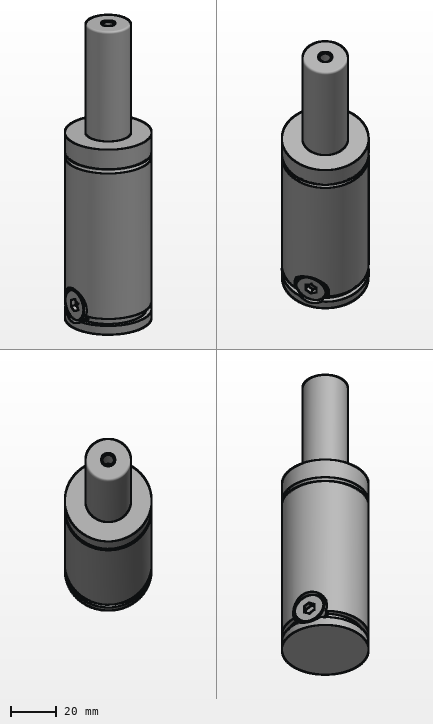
import cadquery as cq
import math

total_height = 140.0
body_diameter = 38.0
body_radius = body_diameter / 2
body_height = 88.0

base_groove_bottom = 4.2
base_groove_top = 7.5
base_groove_radius = 16.7

cap_height = 9.4
cap_groove_radius = 1.0

rod_diameter = 20.0
rod_edge_radius = 1.0
rod_hole_diameter = 5.0
rod_hole_mouth_diameter = 6.2
rod_hole_depth = 12.0
drill_tip_angle = 118.0

plug_height = 10.5
recess_diameter = 16.0
recess_floor_distance = 14.7
plug_diameter = 14.0
plug_face_distance = 18.2
plug_chamfer = 0.3
hex_across_flats = 5.0
hex_depth = 2.5


def make_body():
    """Revolve the body profile with both grooves."""
    cap_groove_top = body_height - cap_height
    cap_groove_bottom = cap_groove_top - 2 * cap_groove_radius
    return (
        cq.Workplane("XZ")
        .lineTo(body_radius, 0)
        .lineTo(body_radius, base_groove_bottom)
        .lineTo(base_groove_radius, base_groove_bottom)
        .lineTo(base_groove_radius, base_groove_top)
        .lineTo(body_radius, base_groove_top)
        .lineTo(body_radius, cap_groove_bottom)
        .threePointArc(
            (body_radius - cap_groove_radius, cap_groove_bottom + cap_groove_radius),
            (body_radius, cap_groove_top),
        )
        .lineTo(body_radius, body_height)
        .lineTo(0, body_height)
        .close()
        .revolve(360, (0, 0), (0, 1))
    )


def make_rod():
    """Rod rising from the body, rounded at its free end."""
    return (
        cq.Workplane("XY", origin=(0, 0, body_height))
        .circle(rod_diameter / 2)
        .extrude(total_height - body_height)
        .faces(">Z")
        .edges().fillet(rod_edge_radius)
    )


def make_rod_hole():
    """Blind drilled hole with a chamfered mouth and a conical tip."""
    hole_radius = rod_hole_diameter / 2
    mouth_radius = rod_hole_mouth_diameter / 2
    mouth_depth = mouth_radius - hole_radius
    tip_length = hole_radius / math.tan(math.radians(drill_tip_angle / 2))
    hole_floor = total_height - rod_hole_depth
    return (
        cq.Workplane("XZ")
        .moveTo(0, total_height)
        .lineTo(mouth_radius, total_height)
        .lineTo(hole_radius, total_height - mouth_depth)
        .lineTo(hole_radius, hole_floor)
        .lineTo(0, hole_floor - tip_length)
        .close()
        .revolve(360, (0, 0), (0, 1))
    )


def plug_plane(distance):
    """Plane facing -Y on the plug axis, at a distance from the body axis."""
    return cq.Workplane("XZ", origin=(0, -distance, plug_height))


def make_recess():
    """Flat-bottomed recess around the plug, open to the outside."""
    return (
        plug_plane(recess_floor_distance)
        .circle(recess_diameter / 2)
        .extrude(body_radius - recess_floor_distance)
    )


def make_plug():
    """Chamfered plug with a hexagon socket, corners up and down."""
    plug = (
        plug_plane(recess_floor_distance)
        .circle(plug_diameter / 2)
        .extrude(plug_face_distance - recess_floor_distance)
        .faces("<Y")
        .chamfer(plug_chamfer)
    )
    hex_corner_diameter = hex_across_flats / math.cos(math.pi / 6)
    socket = (
        plug_plane(plug_face_distance - hex_depth)
        .transformed(rotate=(0, 0, 90))
        .polygon(6, hex_corner_diameter)
        .extrude(hex_depth)
    )
    return plug.cut(socket)


cylinder = make_body().union(make_rod()).cut(make_rod_hole())
result = cylinder.cut(make_recess()).union(make_plug())